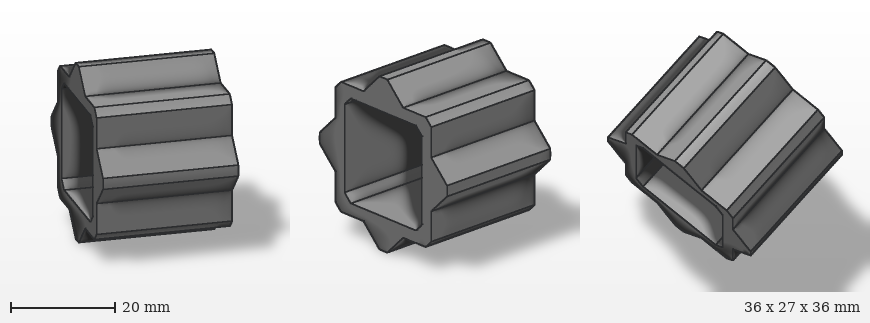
import cadquery as cq

tip_diameter = 36.0
square_side = 27.0
bore_side = 21.77
bore_diameter = 28.45
length = square_side


def cylinder(diameter):
    """Cylinder along Y, centred on the origin."""
    return cq.Workplane("XZ").circle(diameter / 2).extrude(length / 2, both=True)


def square_bar(side):
    """Square bar along Y, centred on the origin."""
    return cq.Workplane("XZ").rect(side, side).extrude(length / 2, both=True)


upright_bar = square_bar(square_side)
turned_bar = upright_bar.rotate((0, 0, 0), (0, 1, 0), 45)
star = upright_bar.union(turned_bar).intersect(cylinder(tip_diameter))

bore = square_bar(bore_side).intersect(cylinder(bore_diameter))

result = star.cut(bore)